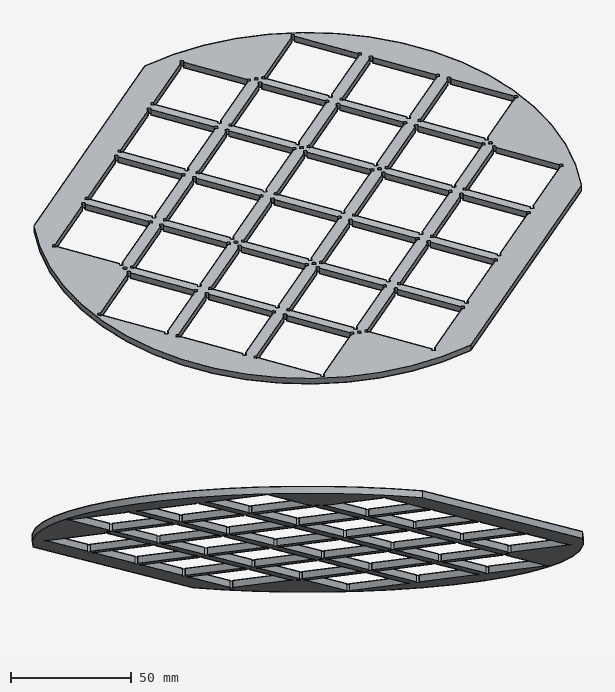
import cadquery as cq

disc_diameter = 228.0
width_across_flats = 197.0
thickness = 3.0

columns = 5
rows = 6
grid_width = 171.0
grid_length = 200.2
bar_width = 5.0
window_size = (grid_width - (columns - 1) * bar_width) / columns
column_pitch = window_size + bar_width
row_pitch = (grid_length - window_size) / (rows - 1)

hole_diameter = 1.5


def grid_offset(index, count, pitch):
    """Centre of one grid line, with the whole row centred on zero."""
    return (index - (count - 1) / 2) * pitch


def window_centers():
    """Centres of all windows except those at the corners of the grid."""
    centers = []
    for column in range(columns):
        for row in range(rows):
            if column in (0, columns - 1) and row in (0, rows - 1):
                continue
            x = grid_offset(column, columns, column_pitch)
            y = grid_offset(row, rows, row_pitch)
            centers.append((x, y))
    return centers


def mirrored(x, y):
    """The point repeated in all four quadrants."""
    return [(x, y), (-x, y), (-x, -y), (x, -y)]


def make_plate():
    disc = cq.Workplane("XY").circle(disc_diameter / 2).extrude(thickness)
    flats = cq.Workplane("XY").rect(width_across_flats, disc_diameter).extrude(thickness)
    return disc.intersect(flats)


def cut_windows(plate, centers):
    windows = cq.Workplane("XY").pushPoints(centers).rect(window_size, window_size).extrude(thickness)
    return plate.cut(windows)


def cut_round_holes(plate, points):
    holes = cq.Workplane("XY").pushPoints(points).circle(hole_diameter / 2).extrude(thickness)
    return plate.cut(holes)


centers = window_centers()
half_window = window_size / 2
relief_points = [
    (x + dx, y + dy)
    for x, y in centers
    for dx, dy in mirrored(half_window, half_window)
]

inner_crossings = mirrored(column_pitch / 2, row_pitch)
outer_crossings = mirrored(column_pitch * 3 / 2, row_pitch * 2)

result = make_plate()
result = cut_windows(result, centers)
result = cut_round_holes(result, relief_points)
result = cut_round_holes(result, inner_crossings + outer_crossings)